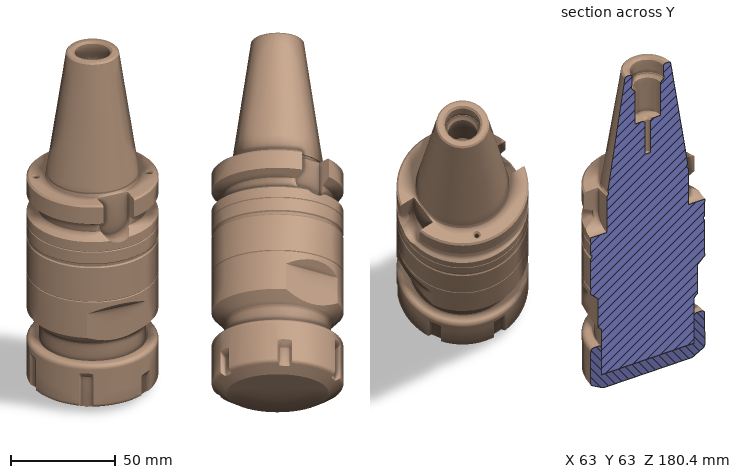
import cadquery as cq
import math


gauge_radius = 44.45 / 2
shank_length = 65.4
taper_slope = 7 / 48
shank_end_radius = gauge_radius - shank_length * taper_slope
shank_end_chamfer = 0.8
relief_radius = 21.6
relief_top = 0.2
relief_bottom = -1.0

body_radius = 63 / 2
flange_top = -2.0
flange_chamfer = 0.9
groove_radius = 53 / 2
groove_middle = -16.7
groove_floor_width = 4.1
groove_flank_angle = math.radians(30)
groove_flank_height = (body_radius - groove_radius) * math.tan(groove_flank_angle)
groove_floor_top = groove_middle + groove_floor_width / 2
groove_floor_bottom = groove_middle - groove_floor_width / 2

ring_grooves = [(-27.0, 0.7, 0.3), (-34.6, 2.5, 0.6), (-54.2, 0.7, 0.3)]
barrel_bottom = -73.9
neck_radius = 51 / 2
neck_top = barrel_bottom - (body_radius - neck_radius)
neck_fillet = 1.7

flat_distance = 55 / 2
flat_top = -60.9

keyway_width = 16.0
keyway_floor = 22.6
keyway_bottom = -23.25

bore_radius = 17 / 2
bore_depth = 9.0
bore_chamfer = 1.0
undercut_top_depth = 6.8
undercut_bottom_depth = 8.6
undercut_radius = bore_radius + 0.4
core_radius = 7.0
countersink_depth = bore_depth + bore_radius - core_radius
core_depth = 30.0
coolant_mouth_radius = 2.6
coolant_radius = 1.4
coolant_length = 20.0

flange_hole_radius = 2.0
flange_core_radius = 1.2
flange_hole_circle = 27.0
flange_hole_angle = 70.0
flange_countersink_depth = flange_hole_radius - flange_core_radius
flange_hole_depth = 6.0

nut_top = -89.0
nut_bottom = -115.0
nut_top_fillet = 2.2
nut_end_radius = 24.5
nut_cone_angle = math.radians(30)
nut_cone_top = nut_bottom + (body_radius - nut_end_radius) * math.tan(nut_cone_angle)
nut_edge_fillet = 2.0
nut_mouth_chamfer = 1.0
spigot_bottom = nut_top - 18.0

slot_count = 6
slot_floor_radius = 29.0
slot_floor_width = 4.9
slot_mouth_width = 7.1
slot_floor_drop = 3.2
slot_corner_radius = 0.9
long_slot_top = -93.2
short_slot_top = -99.7
slot_clearance = 2.0


def revolve_profile(points):
    return cq.Workplane("XZ").polyline(points).close().revolve(360, (0, 0, 0), (0, 1, 0))


def ring_edge_at(height):
    reach = body_radius + 1
    margin = 0.1
    return cq.selectors.BoxSelector(
        (-reach, -reach, height - margin),
        (reach, reach, height + margin),
        boundingbox=True,
    )


def holder_blank():
    blank = revolve_profile([
        (0, shank_length),
        (shank_end_radius - shank_end_chamfer, shank_length),
        (shank_end_radius, shank_length - shank_end_chamfer),
        (gauge_radius, relief_top),
        (relief_radius, relief_top),
        (relief_radius, relief_bottom),
        (relief_radius + relief_bottom - flange_top, flange_top),
        (body_radius - flange_chamfer, flange_top),
        (body_radius, flange_top - flange_chamfer),
        (body_radius, groove_floor_top + groove_flank_height),
        (groove_radius, groove_floor_top),
        (groove_radius, groove_floor_bottom),
        (body_radius, groove_floor_bottom - groove_flank_height),
        (body_radius, barrel_bottom),
        (neck_radius, neck_top),
        (neck_radius, spigot_bottom),
        (0, spigot_bottom),
    ])
    return blank.edges(ring_edge_at(neck_top)).fillet(neck_fillet)


def ring_groove(middle, mouth_width, depth):
    half_mouth = mouth_width / 2
    half_floor = half_mouth - depth
    floor = body_radius - depth
    return revolve_profile([
        (body_radius, middle + half_mouth),
        (floor, middle + half_floor),
        (floor, middle - half_floor),
        (body_radius, middle - half_mouth),
    ])


def wrench_flat():
    outer = body_radius + 1
    return (
        cq.Workplane("XZ")
        .moveTo(flat_distance, neck_top)
        .lineTo(flat_distance, flat_top)
        .lineTo(outer, flat_top + outer - flat_distance)
        .lineTo(outer, neck_top)
        .close()
        .extrude(body_radius, both=True)
    )


def keyway():
    half = keyway_width / 2
    centre = keyway_bottom + half
    return (
        cq.Workplane("YZ", origin=(keyway_floor, 0, 0))
        .moveTo(-half, flange_top)
        .lineTo(-half, centre)
        .threePointArc((0, keyway_bottom), (half, centre))
        .lineTo(half, flange_top)
        .close()
        .extrude(body_radius)
    )


def pull_stud_bore():
    core_floor = shank_length - core_depth
    coolant_floor = core_floor - coolant_length
    return revolve_profile([
        (0, shank_length),
        (bore_radius + bore_chamfer, shank_length),
        (bore_radius, shank_length - bore_chamfer),
        (bore_radius, shank_length - undercut_top_depth),
        (undercut_radius, shank_length - undercut_top_depth),
        (undercut_radius, shank_length - undercut_bottom_depth),
        (bore_radius, shank_length - undercut_bottom_depth),
        (bore_radius, shank_length - bore_depth),
        (core_radius, shank_length - countersink_depth),
        (core_radius, core_floor),
        (coolant_mouth_radius, core_floor),
        (coolant_radius, core_floor - (coolant_mouth_radius - coolant_radius)),
        (coolant_radius, coolant_floor),
        (0, coolant_floor),
    ])


def flange_hole():
    angle = math.radians(flange_hole_angle)
    x = flange_hole_circle * math.cos(angle)
    y = flange_hole_circle * math.sin(angle)
    hole = revolve_profile([
        (0, flange_top),
        (flange_hole_radius, flange_top),
        (flange_core_radius, flange_top - flange_countersink_depth),
        (flange_core_radius, flange_top - flange_hole_depth),
        (0, flange_top - flange_hole_depth),
    ])
    return hole.translate((x, y, 0))


def make_holder():
    holder = holder_blank().cut(pull_stud_bore())
    for middle, width, depth in ring_grooves:
        holder = holder.cut(ring_groove(middle, width, depth))
    for turn in (0, 180):
        for feature in (wrench_flat(), keyway(), flange_hole()):
            holder = holder.cut(feature.rotate((0, 0, 0), (0, 0, 1), turn))
    return holder


def nut_blank():
    blank = revolve_profile([
        (0, nut_bottom),
        (nut_end_radius, nut_bottom),
        (body_radius, nut_cone_top),
        (body_radius, nut_top),
        (0, nut_top),
    ])
    blank = blank.faces(">Z").edges().fillet(nut_top_fillet)
    return blank.edges(ring_edge_at(nut_cone_top)).fillet(nut_edge_fillet)


def spigot_recess():
    return revolve_profile([
        (0, nut_top),
        (neck_radius + nut_mouth_chamfer, nut_top),
        (neck_radius, nut_top - nut_mouth_chamfer),
        (neck_radius, spigot_bottom),
        (0, spigot_bottom),
    ])


def spanner_slot(top):
    """Slot on the +X side; its side walls and its end wall lean outward."""
    depth = body_radius - slot_floor_radius
    reach = (depth + slot_clearance) / depth
    outer_width = slot_floor_width + (slot_mouth_width - slot_floor_width) * reach
    floor_top = top - slot_floor_drop
    outer_top = floor_top + slot_floor_drop * reach
    floor_height = floor_top - nut_bottom
    outer_height = outer_top - nut_bottom
    return (
        cq.Workplane("YZ", origin=(slot_floor_radius, 0, nut_bottom))
        .center(0, floor_height / 2)
        .rect(slot_floor_width, floor_height)
        .workplane(offset=depth + slot_clearance)
        .center(0, (outer_height - floor_height) / 2)
        .rect(outer_width, outer_height)
        .loft(ruled=True)
        .edges("not (|X or |Y or |Z)")
        .edges(">Z")
        .fillet(slot_corner_radius)
    )


def make_nut():
    nut = nut_blank().cut(spigot_recess())
    for index in range(slot_count):
        angle = 30 + index * 360 / slot_count
        on_back_half = angle < 180
        slot = spanner_slot(short_slot_top if on_back_half else long_slot_top)
        nut = nut.cut(slot.rotate((0, 0, 0), (0, 0, 1), angle))
    return nut


holder = make_holder()
nut = make_nut()
result = cq.Compound.makeCompound([holder.val(), nut.val()])